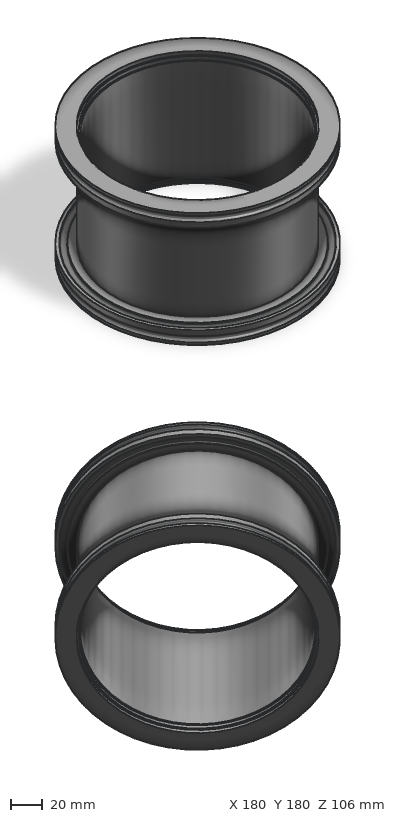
import cadquery as cq

flange_diameter = 180.0
height = 106.0

tube_outer_diameter = 152.9
tube_bore_diameter = 148.2

outer_lip_thickness = 2.3
rim_groove_width = 5.0
rim_groove_diameter = 175.0
inner_lip_thickness = 4.7
flange_thickness = outer_lip_thickness + rim_groove_width + inner_lip_thickness

recess_outer_diameter = 174.5
recess_inner_diameter = 165.1
recess_depth = 2.0
recess_floor_fillet = 0.4
recess_rim_chamfer = 0.4

mouth_steps = [(153.0, 3.0), (150.4, 6.1)]


def disc(diameter, thickness, base_z):
    return cq.Workplane("XY").workplane(offset=base_z).circle(diameter / 2).extrude(thickness)


def rim_groove_cutter():
    """Ring with a rounded section that hollows the flange rim."""
    rim_radius = flange_diameter / 2
    groove_bottom = outer_lip_thickness
    groove_top = groove_bottom + rim_groove_width
    groove_middle = (groove_bottom + groove_top) / 2
    return (
        cq.Workplane("XZ")
        .moveTo(rim_radius, groove_bottom)
        .threePointArc((rim_groove_diameter / 2, groove_middle), (rim_radius, groove_top))
        .close()
        .revolve(360, (0, 0), (0, 1))
    )


def face_recess_cutter():
    """Ring sunk into the inner face of the flange, with rounded floor corners and a chamfered rim."""
    floor_z = flange_thickness - recess_depth
    ring = disc(recess_outer_diameter, recess_depth, floor_z)
    ring = ring.cut(disc(recess_inner_diameter, recess_depth, floor_z))
    ring = ring.faces("<Z").edges().fillet(recess_floor_fillet)
    chamfer_z = flange_thickness - recess_rim_chamfer
    inner_radius = recess_inner_diameter / 2
    outer_radius = recess_outer_diameter / 2
    flare = (
        cq.Workplane("XZ")
        .moveTo(inner_radius, chamfer_z)
        .lineTo(outer_radius, chamfer_z)
        .lineTo(outer_radius + recess_rim_chamfer, flange_thickness)
        .lineTo(inner_radius - recess_rim_chamfer, flange_thickness)
        .close()
        .revolve(360, (0, 0), (0, 1))
    )
    return ring.union(flare)


def bottom_flange():
    """Grooved flange with its end face at the bottom of the part."""
    flange = disc(flange_diameter, flange_thickness, 0)
    flange = flange.cut(rim_groove_cutter()).cut(face_recess_cutter())
    return flange.translate((0, 0, -height / 2))


def bottom_bore_mouth():
    """Stepped cutter that widens the bore at the bottom end."""
    mouth = cq.Workplane("XY")
    for diameter, depth in mouth_steps:
        mouth = mouth.union(disc(diameter, depth, -height / 2))
    return mouth


tube = disc(tube_outer_diameter, height, -height / 2)
flange = bottom_flange()
mouth = bottom_bore_mouth()

result = (
    tube.union(flange)
    .union(flange.mirror("XY"))
    .cut(disc(tube_bore_diameter, height, -height / 2))
    .cut(mouth)
    .cut(mouth.mirror("XY"))
)